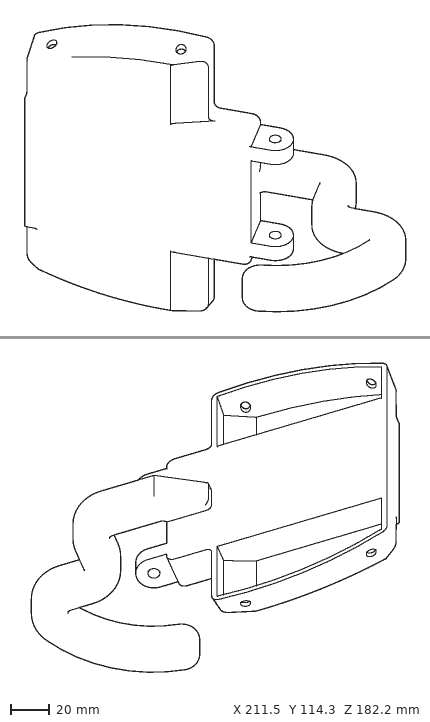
import cadquery as cq
import math

thickness = 19.05
plate_length = 97.6
crown_x = 76.2
back_half_height = 91.1
back_crown_radius = 163.0
end_taper = 22.5
front_half_height = back_half_height - thickness * math.tan(math.radians(end_taper))
front_crown_radius = 197.0
corner_radius = 4.7625
edge_radius = 0.79
wall = 3.175

tongue_end = 122.6
tongue_half_width = 43.66
tongue_root_radius = 3.175

relief_start = 79.1
relief_angle = 20.6
relief_depth = (plate_length - relief_start) * math.tan(math.radians(relief_angle))
notch_length = 7.6
notch_depth = 4.9
notch_foot_radius = 0.9

screw_diameter = 5.15
screw_x = 12.3
screw_spacing = 69.85
lug_width = 9.525
lug_center_z = 32.55
lug_center_x = 133.1
lug_radius = thickness / 2
pin_diameter = 6.2

bar = 19.05
inner_bend = 3.175
outer_bend = inner_bend + bar
hook_edge_radius = 3.175
hook_top = 2 * thickness
hook_ramp_angle = 30.0
hook_right = 211.52
hook_step = 11.75
hook_bottom = -76.2
hook_sweep_angle = 28.7
hook_sweep_radius = 75.5

mid_y = thickness / 2
through = 300.0


def plate_outline(workplane, inset, half_height, crown_radius):
    """Symmetric plate outline in XZ with a crowned top and bottom."""
    left = inset
    right = plate_length - inset
    peak = half_height - inset

    def height(x):
        return peak - crown_radius + math.sqrt(crown_radius ** 2 - (x - crown_x) ** 2)

    return (
        workplane.moveTo(left, -height(left))
        .lineTo(left, height(left))
        .threePointArc((crown_x, peak), (right, height(right)))
        .lineTo(right, -height(right))
        .threePointArc((crown_x, -peak), (left, -height(left)))
        .close()
    )


def tapered_plate(inset=0.0):
    """Plate lofted between its front and back outlines, optionally inset."""
    front = plate_outline(cq.Workplane("XZ"), inset, front_half_height, front_crown_radius)
    back_plane = front.workplane(offset=-thickness)
    both = plate_outline(back_plane, inset, back_half_height, back_crown_radius)
    return both.loft(ruled=True)


def both_ends(solid):
    """A feature at the upper end together with its mirror image below."""
    return solid.union(solid.mirror("XY"))


def end_prism(points):
    """XY polygon extruded upward from the level of the tongue's side."""
    return (
        cq.Workplane("XY").workplane(offset=tongue_half_width)
        .polyline(points).close().extrude(through)
    )


def make_body():
    """Plate and tongue with rounded corners."""
    plate = tapered_plate().faces("<X or >X").edges("not |Z").fillet(corner_radius)
    tongue_start = plate_length / 2
    tongue = (
        cq.Workplane("XY")
        .box(tongue_end - tongue_start, thickness, 2 * tongue_half_width, centered=(False, False, True))
        .translate((tongue_start, 0, 0))
        .edges("|Y and >X").fillet(corner_radius)
    )
    reach = 1.0
    root = cq.selectors.BoxSelector(
        (plate_length - reach, 0, -tongue_half_width - reach),
        (plate_length + reach, thickness, tongue_half_width + reach),
    )
    return plate.union(tongue).edges(root).fillet(tongue_root_radius)


def make_notches():
    """Bevels on the left front edge, above and below the middle."""
    notch = end_prism([(0, 0), (0, notch_depth), (notch_length, 0)])
    bevel_foot = (notch_length / 2, notch_depth / 2, tongue_half_width)
    foot_edge = cq.selectors.NearestToPointSelector(bevel_foot)
    return both_ends(notch.faces("<Z").edges(foot_edge).fillet(notch_foot_radius))


def make_reliefs():
    """Slopes on the front of the plate, above and below the tongue."""
    rise = (tongue_end - relief_start) * math.tan(math.radians(relief_angle))
    relief = end_prism([(relief_start, 0), (tongue_end, rise), (tongue_end, 0)])
    return both_ends(relief)


def make_lugs():
    """Two rounded hinge lugs with a pin hole along Z."""
    lug_start = tongue_end - corner_radius
    blank = (
        cq.Workplane("XY")
        .moveTo(lug_start, 0)
        .lineTo(lug_center_x, 0)
        .threePointArc((lug_center_x + lug_radius, mid_y), (lug_center_x, thickness))
        .lineTo(lug_start, thickness)
        .close()
        .moveTo(lug_center_x, mid_y).circle(pin_diameter / 2)
        .extrude(lug_width)
    )
    return both_ends(blank.translate((0, 0, lug_center_z - lug_width / 2)))


def round_front_edges(body):
    """Round the front and notch outlines, except beside the reliefs and between the lugs."""

    def is_rounded_front(edge):
        box = edge.BoundingBox()
        along_lug = box.xmin > tongue_end - edge_radius
        at_relief = box.xmax - box.xmin < edge_radius and abs(box.xmin - relief_start) < edge_radius
        return not along_lug and not at_relief

    def is_notch_side(edge):
        box = edge.BoundingBox()
        return edge_radius / 2 < edge.Center().y and box.ymax < notch_depth + edge_radius / 2

    front_edges = [e for e in body.faces("<Y").edges().vals() if is_rounded_front(e)]
    notch_edges = [e for e in body.faces("<X").edges().vals() if is_notch_side(e)]
    return body.newObject(front_edges + notch_edges).fillet(edge_radius)


def make_cavities():
    """Pockets open at the back, leaving an even wall behind the ends of the plate."""
    past_back = 2 * thickness
    section = (
        cq.Workplane("XY").workplane(offset=tongue_half_width)
        .moveTo(0, notch_depth)
        .lineTo(notch_length, 0)
        .lineTo(relief_start, 0)
        .lineTo(plate_length, relief_depth)
        .lineTo(plate_length, past_back)
        .lineTo(0, past_back)
        .close()
        .offset2D(-wall)
        .extrude(through)
    )
    return both_ends(section.intersect(tapered_plate(wall)))


def make_screw_holes():
    """Screw holes along Z through the end walls into the cavities."""
    holes = (
        cq.Workplane("XY").workplane(offset=tongue_half_width)
        .pushPoints([(screw_x, mid_y), (screw_x + screw_spacing, mid_y)])
        .circle(screw_diameter / 2).extrude(through)
    )
    return both_ends(holes)


def polar(center, radius, degrees):
    """Point at a given radius and angle from a center."""
    angle = math.radians(degrees)
    return (center[0] + radius * math.cos(angle), center[1] + radius * math.sin(angle))


def make_hook():
    """Rounded bar leaving the back of the tongue and curling forward."""
    bend_3 = (hook_right - outer_bend, -outer_bend)
    bend_2 = (bend_3[0] - hook_step, inner_bend)
    bend_1 = (bend_2[0] - outer_bend - inner_bend, hook_top - outer_bend)
    end_angle = -hook_sweep_angle
    bend_3_middle = (90 + end_angle) / 2

    finger_center = polar(bend_3, inner_bend + bar / 2 - hook_sweep_radius, end_angle)
    finger_outer = hook_sweep_radius + bar / 2
    finger_inner = hook_sweep_radius - bar / 2
    tip_y = hook_bottom + bar / 2
    tip_angle = math.degrees(math.asin((tip_y - finger_center[1]) / hook_sweep_radius))
    tip_center = polar(finger_center, hook_sweep_radius, tip_angle)
    finger_middle = (end_angle + tip_angle) / 2

    ramp_rise = (tongue_end - plate_length) * math.tan(math.radians(hook_ramp_angle))
    profile = (
        cq.Workplane("XY")
        .workplane(offset=-bar / 2)
        .moveTo(plate_length, mid_y)
        .lineTo(plate_length, hook_top - ramp_rise)
        .lineTo(tongue_end, hook_top)
        .lineTo(bend_1[0], hook_top)
        .threePointArc(polar(bend_1, outer_bend, 45), polar(bend_1, outer_bend, 0))
        .lineTo(bend_2[0] - inner_bend, bend_2[1])
        .threePointArc(polar(bend_2, inner_bend, 225), polar(bend_2, inner_bend, 270))
        .lineTo(bend_3[0], 0)
        .threePointArc(polar(bend_3, outer_bend, bend_3_middle), polar(bend_3, outer_bend, end_angle))
        .threePointArc(
            polar(finger_center, finger_outer, finger_middle),
            polar(finger_center, finger_outer, tip_angle),
        )
        .threePointArc(
            polar(tip_center, bar / 2, tip_angle - 90),
            polar(finger_center, finger_inner, tip_angle),
        )
        .threePointArc(
            polar(finger_center, finger_inner, finger_middle),
            polar(bend_3, inner_bend, end_angle),
        )
        .threePointArc(polar(bend_3, inner_bend, bend_3_middle), polar(bend_3, inner_bend, 90))
        .lineTo(bend_2[0], -bar)
        .threePointArc(polar(bend_2, outer_bend, 225), polar(bend_2, outer_bend, 180))
        .lineTo(bend_1[0] + inner_bend, bend_1[1])
        .threePointArc(polar(bend_1, inner_bend, 45), polar(bend_1, inner_bend, 90))
        .lineTo(tongue_end + inner_bend, thickness)
        .radiusArc((tongue_end, thickness - inner_bend), -inner_bend)
        .lineTo(tongue_end, mid_y)
        .close()
    )
    return profile.extrude(bar).faces("<Z or >Z").edges().fillet(hook_edge_radius)


body = make_body().cut(make_notches()).cut(make_reliefs()).union(make_lugs())
body = round_front_edges(body).cut(make_cavities()).cut(make_screw_holes())
result = body.union(make_hook())